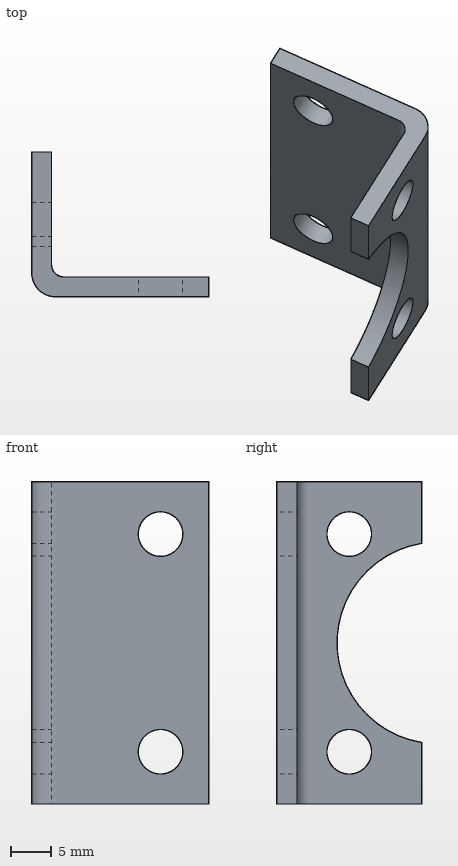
import cadquery as cq

base_width = 22.0
flange_depth = 18.0
height = 40.0
thickness = 2.5
outer_bend_radius = 3.0
inner_bend_radius = 1.5

hole_diameter = 5.5
hole_edge_distance = 6.5
hole_offset = height / 2 - hole_edge_distance
base_hole_x = 16.0
flange_hole_y = 9.0

relief_radius = 12.5
relief_center_setback = 2.0
relief_center_y = flange_depth + relief_center_setback


def make_angle():
    """L-shaped profile with a rounded bend, extruded symmetrically about Z = 0."""
    profile = (
        cq.Workplane("XY")
        .moveTo(0, 0)
        .lineTo(base_width, 0)
        .lineTo(base_width, thickness)
        .lineTo(thickness, thickness)
        .lineTo(thickness, flange_depth)
        .lineTo(0, flange_depth)
        .close()
    )
    angle = profile.extrude(height / 2, both=True)
    outer_corner = cq.NearestToPointSelector((0, 0, 0))
    inner_corner = cq.NearestToPointSelector((thickness, thickness, 0))
    angle = angle.edges("|Z").edges(outer_corner).fillet(outer_bend_radius)
    return angle.edges("|Z").edges(inner_corner).fillet(inner_bend_radius)


def base_cylinder(x, z, radius):
    """Cutter along Y through the base leg only."""
    return cq.Solid.makeCylinder(radius, thickness, cq.Vector(x, 0, z), cq.Vector(0, 1, 0))


def flange_cylinder(y, z, radius):
    """Cutter along X through the flange leg only."""
    return cq.Solid.makeCylinder(radius, thickness, cq.Vector(0, y, z), cq.Vector(1, 0, 0))


result = make_angle()
for hole_z in (-hole_offset, hole_offset):
    result = result.cut(base_cylinder(base_hole_x, hole_z, hole_diameter / 2))
    result = result.cut(flange_cylinder(flange_hole_y, hole_z, hole_diameter / 2))
result = result.cut(flange_cylinder(relief_center_y, 0, relief_radius))